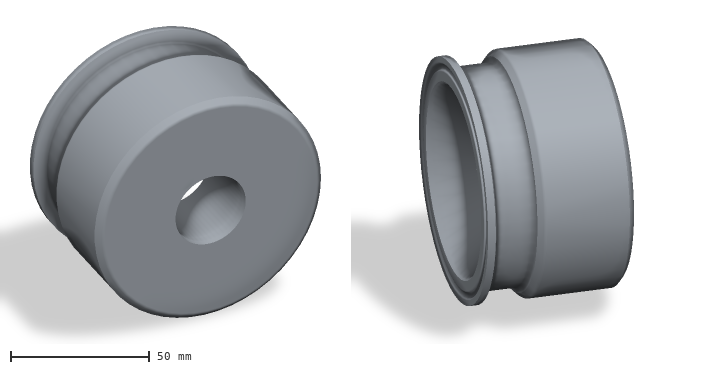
import cadquery as cq
import math

length = 55.55
outer_diameter = 90.9

flange_rim_width = 2.9
flange_back_angle = 20.0
flange_foot_radius = 1.0

neck_diameter = 81.9
neck_end = 19.2

chamfer = 2.4
corner_radius = 1.6

mouth_diameter = 72.7
mouth_depth = 25.0
bore_diameter = 28.2

groove_diameter = 83.4
groove_floor_radius = 1.3
groove_lip_radius = 0.55
groove_wall_angle = 70.0

outer_radius = outer_diameter / 2
neck_radius = neck_diameter / 2
shoulder_radius = outer_radius - chamfer
flange_back_run = (outer_radius - neck_radius) * math.tan(math.radians(flange_back_angle))
flange_foot = flange_rim_width + flange_back_run


def rounded_corner(before, corner, after, radius):
    """Start, middle and end of the arc that rounds a corner between two straight lines."""
    corner_v = cq.Vector(*corner)
    to_before = (cq.Vector(*before) - corner_v).normalized()
    to_after = (cq.Vector(*after) - corner_v).normalized()
    half_angle = to_before.getAngle(to_after) / 2
    setback = radius / math.tan(half_angle)
    middle_distance = radius / math.sin(half_angle) - radius
    bisector = (to_before + to_after).normalized()
    arc = (
        corner_v + to_before * setback,
        corner_v + bisector * middle_distance,
        corner_v + to_after * setback,
    )
    return [point.toTuple()[:2] for point in arc]


def turn(profile):
    """Revolve a closed profile, drawn as (X, radius), about the X axis."""
    return profile.close().revolve(360, (0, 0, 0), (1, 0, 0))


def make_body():
    """Turned body with its conical mouth and bore; each corner is (X, radius, rounding)."""
    corners = [
        (0, mouth_diameter / 2, 0),
        (0, outer_radius, 0),
        (flange_rim_width, outer_radius, 0),
        (flange_foot, neck_radius, flange_foot_radius),
        (neck_end, neck_radius, corner_radius),
        (neck_end, shoulder_radius, 0),
        (neck_end + chamfer, outer_radius, corner_radius),
        (length - chamfer, outer_radius, 0),
        (length, shoulder_radius, corner_radius),
        (length, bore_diameter / 2, 0),
        (mouth_depth, bore_diameter / 2, 0),
    ]
    profile = cq.Workplane("XY").moveTo(*corners[0][:2])
    for before, corner, after in zip(corners, corners[1:], corners[2:] + corners[:1]):
        rounding = corner[2]
        if rounding:
            start, middle, end = rounded_corner(before[:2], corner[:2], after[:2], rounding)
            profile = profile.lineTo(*start).threePointArc(middle, end)
        else:
            profile = profile.lineTo(*corner[:2])
    return turn(profile)


def make_groove():
    """Round-bottomed ring groove whose lips are rounded into the flange face."""
    wall = math.radians(groove_wall_angle)
    half_wall = wall / 2
    center = groove_diameter / 2
    floor_half_width = groove_floor_radius * math.sin(wall)
    half_width = floor_half_width + groove_lip_radius * math.sin(wall)
    lip_depth = groove_lip_radius * (1 - math.cos(wall))
    lip_middle_depth = groove_lip_radius * (1 - math.cos(half_wall))
    lip_middle_offset = half_width - groove_lip_radius * math.sin(half_wall)
    depth = lip_depth + groove_floor_radius * (1 - math.cos(wall))
    profile = (
        cq.Workplane("XY")
        .moveTo(0, center - half_width)
        .threePointArc((lip_middle_depth, center - lip_middle_offset), (lip_depth, center - floor_half_width))
        .threePointArc((depth, center), (lip_depth, center + floor_half_width))
        .threePointArc((lip_middle_depth, center + lip_middle_offset), (0, center + half_width))
    )
    return turn(profile)


result = make_body().cut(make_groove())